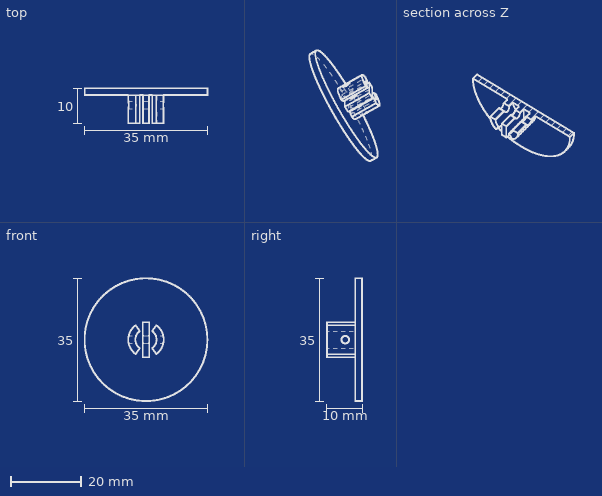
import cadquery as cq
import math

disc_diameter = 35.0
disc_thickness = 2.0

hub_length = 8.0
hub_radius = 5.05
bore_radius = 3.0
jaw_half_angle = math.radians(54.3)

blade_width = 1.8
blade_height = 10.0

pin_diameter = 2.1
pin_distance = 2.8


def polar(radius, angle):
    return (radius * math.cos(angle), radius * math.sin(angle))


def make_disc():
    return cq.Workplane("XZ").circle(disc_diameter / 2).extrude(-disc_thickness)


def make_jaw(middle_angle):
    """Ring sector with radial end faces, centred on middle_angle."""
    start = middle_angle - jaw_half_angle
    end = middle_angle + jaw_half_angle
    return (
        cq.Workplane("XZ")
        .moveTo(*polar(bore_radius, start))
        .lineTo(*polar(hub_radius, start))
        .threePointArc(polar(hub_radius, middle_angle), polar(hub_radius, end))
        .lineTo(*polar(bore_radius, end))
        .threePointArc(polar(bore_radius, middle_angle), polar(bore_radius, start))
        .close()
        .extrude(hub_length)
    )


def make_blade():
    return cq.Workplane("XZ").rect(blade_width, blade_height).extrude(hub_length)


def make_pin_hole():
    return (
        cq.Workplane("YZ")
        .center(-pin_distance, 0)
        .circle(pin_diameter / 2)
        .extrude(hub_radius, both=True)
    )


result = make_disc().union(make_blade())
for middle_angle in (0, math.pi):
    result = result.union(make_jaw(middle_angle))
result = result.cut(make_pin_hole())